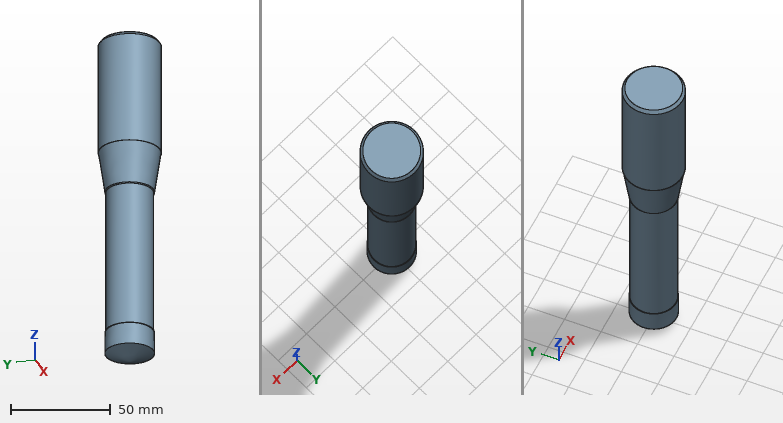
import cadquery as cq
import math

total_length = 175.5
shank_length = 60.4
cone_length = 21.6
cone_edge_height = 0.5
cutter_length = 11.5

shank_diameter = 31.8
cone_top_diameter = 31.5
cone_bottom_diameter = 25.0
neck_diameter = 24.0
cutter_diameter = 25.0
cutter_top_diameter = 24.7

chamfer_height = 1.8
chamfer_width = 1.4

point_slope_angle = 20.0

shank_radius = shank_diameter / 2
cutter_radius = cutter_diameter / 2
point_height = cutter_radius * math.tan(math.radians(point_slope_angle))
cutter_top = point_height + cutter_length
shank_bottom = total_length - shank_length
cone_bottom = shank_bottom - cone_length


def revolve_about_z(profile):
    """Turn a closed (radius, height) outline into a solid around the Z axis."""
    return cq.Workplane("XZ").polyline(profile).close().revolve(360, (0, 0), (0, 1))


def make_holder():
    """Chamfered shank, tapered transition and slim neck."""
    neck_radius = neck_diameter / 2
    return revolve_about_z([
        (0, cutter_top),
        (neck_radius, cutter_top),
        (neck_radius, cone_bottom - cone_edge_height),
        (cone_bottom_diameter / 2, cone_bottom),
        (cone_top_diameter / 2, shank_bottom),
        (shank_radius, shank_bottom),
        (shank_radius, total_length - chamfer_height),
        (shank_radius - chamfer_width, total_length),
        (0, total_length),
    ])


def make_cutter():
    """Slightly back-tapered cutting head with a conical point, seated on the neck's flat end."""
    return revolve_about_z([
        (0, 0),
        (cutter_radius, point_height),
        (cutter_top_diameter / 2, cutter_top),
        (0, cutter_top),
    ])


holder = make_holder()
cutter = make_cutter()

result = cq.Compound.makeCompound([holder.val(), cutter.val()])